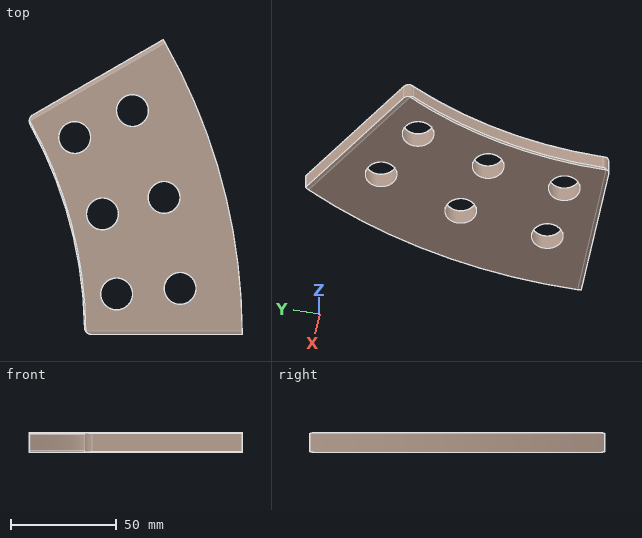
import cadquery as cq
import math

outer_radius = 279.4
inner_radius = 204.6
sector_angle = 30.0
thickness = 9.5

end_bevel_height = 0.4
end_bevel_width = 1.8
inner_bevel_size = 0.7

inner_corner_radius = 3.5

hole_diameter = 15.0
hole_row_radii = (220.7, 250.9)
holes_per_row = 3
hole_pitch_angle = sector_angle / holes_per_row


def polar(radius, angle):
    """Return the point at a radius and an angle in degrees."""
    radians = math.radians(angle)
    return (radius * math.cos(radians), radius * math.sin(radians))


def sector_plate():
    """Make the plain plate between two arcs and two radial ends."""
    return (
        cq.Workplane("XY")
        .moveTo(*polar(inner_radius, 0))
        .lineTo(*polar(outer_radius, 0))
        .threePointArc(polar(outer_radius, sector_angle / 2), polar(outer_radius, sector_angle))
        .lineTo(*polar(inner_radius, sector_angle))
        .threePointArc(polar(inner_radius, sector_angle / 2), polar(inner_radius, 0))
        .close()
        .extrude(thickness)
    )


def round_inner_corners(plate):
    """Round the two upright corners beside the concave side."""
    for angle in (0, sector_angle):
        corner = (*polar(inner_radius, angle), thickness / 2)
        plate = plate.edges(cq.selectors.NearestToPointSelector(corner)).fillet(inner_corner_radius)
    return plate


def bevel_profile(plane, edge, inward_width, height):
    """Draw a section of kept material with one side bevelled at the top and bottom."""
    far = edge + outer_radius
    return (
        cq.Workplane(plane)
        .moveTo(edge + inward_width, 0)
        .lineTo(edge, height)
        .lineTo(edge, thickness - height)
        .lineTo(edge + inward_width, thickness)
        .lineTo(far, thickness)
        .lineTo(far, 0)
        .close()
    )


def bevel_inner_arc(plate):
    """Bevel the top and bottom of the concave side."""
    kept = bevel_profile("XZ", inner_radius, inner_bevel_size, inner_bevel_size)
    return plate.intersect(kept.revolve(360, (0, 0, 0), (0, 1, 0)))


def bevel_ends(plate):
    """Bevel the top and bottom of both radial ends."""
    kept = bevel_profile("YZ", 0, end_bevel_width, end_bevel_height).extrude(2 * outer_radius)
    other_kept = kept.mirror("XZ").rotate((0, 0, 0), (0, 0, 1), sector_angle)
    return plate.intersect(kept).intersect(other_kept)


def drill_holes(plate):
    """Drill one hole in each row at the middle of each equal slice."""
    centres = [
        polar(radius, (index + 0.5) * hole_pitch_angle)
        for radius in hole_row_radii
        for index in range(holes_per_row)
    ]
    holes = cq.Workplane("XY").pushPoints(centres).circle(hole_diameter / 2).extrude(thickness)
    return plate.cut(holes)


result = sector_plate()
result = round_inner_corners(result)
result = bevel_inner_arc(result)
result = bevel_ends(result)
result = drill_holes(result)